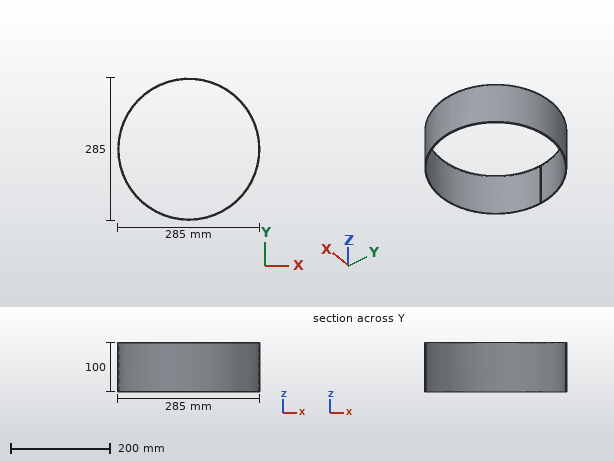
import cadquery as cq
import math

OUTER_DIAMETER = 285.0
WALL = 2.5
HEIGHT = 100.0
OUTER_TAPER_HEIGHT = 1.8
OUTER_TAPER_ANGLE = 20.0
INNER_CHAMFER_DEPTH = 0.35
INNER_CHAMFER_ANGLE = 30.0
SLIT_ANGLE = 1.0

outer_radius = OUTER_DIAMETER / 2
inner_radius = outer_radius - WALL
half_height = HEIGHT / 2

land_outer_radius = outer_radius - OUTER_TAPER_HEIGHT * math.tan(math.radians(OUTER_TAPER_ANGLE))
land_inner_radius = inner_radius + INNER_CHAMFER_DEPTH

outer_taper_start = half_height - OUTER_TAPER_HEIGHT
inner_chamfer_start = half_height - INNER_CHAMFER_DEPTH / math.tan(math.radians(INNER_CHAMFER_ANGLE))


def make_closed_ring():
    """Wall section with chamfered rims, revolved a full turn about Z."""
    upper_half = [
        (outer_radius, outer_taper_start),
        (land_outer_radius, half_height),
        (land_inner_radius, half_height),
        (inner_radius, inner_chamfer_start),
    ]
    lower_half = [(radius, -height) for radius, height in reversed(upper_half)]
    section = cq.Workplane("XZ").polyline(upper_half + lower_half).close()
    return section.revolve(360, (0, 0), (0, 1))


def make_slit_wedge():
    """Full-height wedge from the axis, between the -X direction and SLIT_ANGLE towards +Y."""
    wedge_length = outer_radius + WALL
    wedge_width = wedge_length * math.tan(math.radians(SLIT_ANGLE))
    outline = [(0, 0), (-wedge_length, 0), (-wedge_length, wedge_width)]
    base = cq.Workplane("XY").workplane(offset=-half_height)
    return base.polyline(outline).close().extrude(HEIGHT)


result = make_closed_ring().cut(make_slit_wedge())